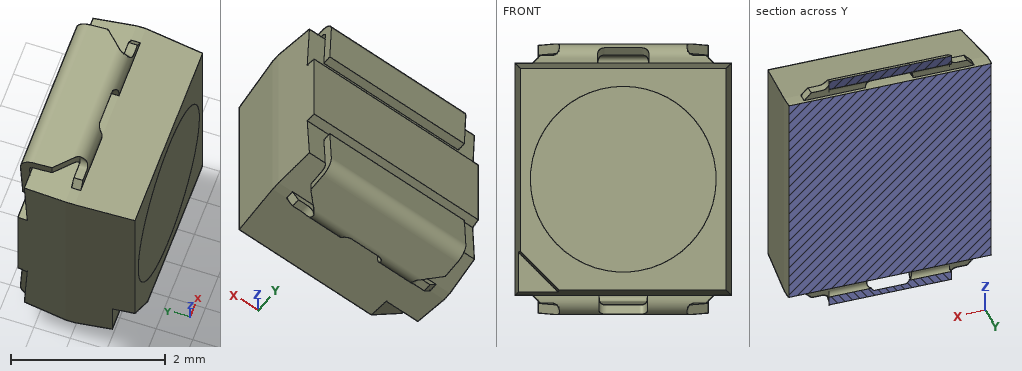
import cadquery as cq
import math


BODY_WIDTH = 2.8
BODY_HEIGHT = 3.003
FRONT_DEPTH = 0.798
DRAFT_ANGLE = 5.0
BACK_FACE_Y = 1.6
STANDOFF_HALF_HEIGHT = 0.655
SHOULDER_Y = 1.465
SHOULDER_ANGLE = 3.0

NOTCH_LEG = 0.5
NOTCH_DEPTH = 0.3
NOTCH_OVERRUN = 0.21

LENS_RADIUS = 1.2
LENS_DEPTH = FRONT_DEPTH

LEAD_THICKNESS = 0.125
BEND_RADIUS = 0.192
LEAD_TOP_Z = 1.75
LEAD_BACK_Y = 1.65
FOOT_END_Z = 0.9
FLANGE_ROOT_HALF_WIDTH = 1.172
FLANGE_LENGTH = 0.098
NECK_FILLET = 0.1
NECK_HALF_WIDTH = 0.825
LEG_HALF_WIDTH = 1.1
FLARE_ANGLE = 45.0
LEG_SHOULDER_Y = 1.215
WINDOW_CORNER_RADIUS = 0.1
UPPER_WINDOW_HALF_WIDTH = 0.332
UPPER_WINDOW_END_ANGLE = 48.0
LOWER_WINDOW_HALF_WIDTH = 0.315
LOWER_WINDOW_END_ANGLE = 74.0

QUARTER_MIDDLE = 45.0

BODY_HALF_WIDTH = BODY_WIDTH / 2
BODY_HALF_HEIGHT = BODY_HEIGHT / 2
BAND_BACK_Y = FRONT_DEPTH + LEAD_THICKNESS
FLANGE_INNER_HALF_WIDTH = NECK_HALF_WIDTH + NECK_FILLET
INNER_BEND_RADIUS = BEND_RADIUS - LEAD_THICKNESS
FRONT_BEND = (FRONT_DEPTH + BEND_RADIUS, LEAD_TOP_Z - BEND_RADIUS)
BACK_BEND_Y = LEAD_BACK_Y - BEND_RADIUS
BEND_DROP = (BACK_BEND_Y - FRONT_BEND[0]) * math.tan(math.radians(DRAFT_ANGLE))
BACK_BEND = (BACK_BEND_Y, FRONT_BEND[1] - BEND_DROP)


def polar(center, radius, angle):
    """Point on a circle; the angle runs from the first axis of the plane to the second."""
    turn = math.radians(angle)
    return (center[0] + radius * math.cos(turn), center[1] + radius * math.sin(turn))


def make_shoulder_cutter():
    """Wedge that clears the upper shoulder behind the housing for a lead foot."""
    slope = math.tan(math.radians(SHOULDER_ANGLE))
    standoff_slope = math.tan(math.radians(DRAFT_ANGLE))
    outer_z = BODY_HALF_HEIGHT
    outer_y = SHOULDER_Y + (outer_z - STANDOFF_HALF_HEIGHT) * slope
    back_z = STANDOFF_HALF_HEIGHT - (BACK_FACE_Y - SHOULDER_Y) * standoff_slope
    return (
        cq.Workplane("YZ")
        .polyline([
            (SHOULDER_Y, STANDOFF_HALF_HEIGHT),
            (outer_y, outer_z),
            (BACK_FACE_Y, outer_z),
            (BACK_FACE_Y, back_z),
        ])
        .close()
        .extrude(BODY_HALF_WIDTH, both=True)
    )


def make_polarity_notch():
    """Drafted triangular corner cutter, overrunning the two housing sides."""
    inset = FRONT_DEPTH * math.tan(math.radians(DRAFT_ANGLE))
    corner_x = -(BODY_HALF_WIDTH - inset) - NOTCH_OVERRUN
    corner_z = -(BODY_HALF_HEIGHT - inset) - NOTCH_OVERRUN
    leg = NOTCH_LEG + 2 * NOTCH_OVERRUN
    return (
        cq.Workplane("ZX")
        .polyline([(corner_z, corner_x), (corner_z + leg, corner_x), (corner_z, corner_x + leg)])
        .close()
        .extrude(NOTCH_DEPTH, taper=DRAFT_ANGLE)
    )


def make_lens():
    return cq.Workplane("ZX").circle(LENS_RADIUS).extrude(LENS_DEPTH)


def make_housing():
    front = (
        cq.Workplane("XZ", origin=(0, FRONT_DEPTH, 0))
        .rect(BODY_WIDTH, BODY_HEIGHT)
        .extrude(FRONT_DEPTH, taper=DRAFT_ANGLE)
    )
    band = (
        cq.Workplane("ZX", origin=(0, FRONT_DEPTH, 0))
        .rect(BODY_HEIGHT, BODY_WIDTH)
        .extrude(LEAD_THICKNESS)
    )
    back = (
        cq.Workplane("ZX", origin=(0, BAND_BACK_Y, 0))
        .rect(BODY_HEIGHT, BODY_WIDTH)
        .extrude(BACK_FACE_Y - BAND_BACK_Y, taper=DRAFT_ANGLE)
    )
    shoulder = make_shoulder_cutter()
    return (
        front.union(band)
        .union(back)
        .cut(shoulder)
        .cut(shoulder.mirror("XY"))
        .cut(make_polarity_notch())
        .cut(make_lens())
    )


def make_bent_strip():
    """Lead strip of full width: out of the housing, over its edge and under its back."""
    leg_normal = 90 - DRAFT_ANGLE
    foot_normal = -SHOULDER_ANGLE
    front_mid = (180 + leg_normal) / 2
    back_mid = (leg_normal + foot_normal) / 2
    foot_slope = math.tan(math.radians(SHOULDER_ANGLE))

    def foot_end(radius):
        start_y, start_z = polar(BACK_BEND, radius, foot_normal)
        return (start_y - (start_z - FOOT_END_Z) * foot_slope, FOOT_END_Z)

    return (
        cq.Workplane("YZ")
        .moveTo(FRONT_DEPTH, BODY_HALF_HEIGHT)
        .lineTo(*polar(FRONT_BEND, BEND_RADIUS, 180))
        .threePointArc(
            polar(FRONT_BEND, BEND_RADIUS, front_mid), polar(FRONT_BEND, BEND_RADIUS, leg_normal)
        )
        .lineTo(*polar(BACK_BEND, BEND_RADIUS, leg_normal))
        .threePointArc(
            polar(BACK_BEND, BEND_RADIUS, back_mid), polar(BACK_BEND, BEND_RADIUS, foot_normal)
        )
        .lineTo(*foot_end(BEND_RADIUS))
        .lineTo(*foot_end(INNER_BEND_RADIUS))
        .lineTo(*polar(BACK_BEND, INNER_BEND_RADIUS, foot_normal))
        .threePointArc(
            polar(BACK_BEND, INNER_BEND_RADIUS, back_mid),
            polar(BACK_BEND, INNER_BEND_RADIUS, leg_normal),
        )
        .lineTo(*polar(FRONT_BEND, INNER_BEND_RADIUS, leg_normal))
        .threePointArc(
            polar(FRONT_BEND, INNER_BEND_RADIUS, front_mid), polar(FRONT_BEND, INNER_BEND_RADIUS, 180)
        )
        .lineTo(BAND_BACK_Y, BODY_HALF_HEIGHT)
        .close()
        .extrude(FLANGE_ROOT_HALF_WIDTH, both=True)
    )


def make_flange_outline():
    """Prism through the band depth: chamfered flange, filleted into the narrow neck."""
    flange_top = BODY_HALF_HEIGHT + FLANGE_LENGTH
    neck_start = flange_top + NECK_FILLET
    arc_z, arc_x = polar((neck_start, FLANGE_INNER_HALF_WIDTH), NECK_FILLET, 180 + QUARTER_MIDDLE)
    return (
        cq.Workplane("ZX", origin=(0, FRONT_DEPTH, 0))
        .moveTo(BODY_HALF_HEIGHT, FLANGE_ROOT_HALF_WIDTH)
        .lineTo(flange_top, FLANGE_ROOT_HALF_WIDTH - FLANGE_LENGTH)
        .lineTo(flange_top, FLANGE_INNER_HALF_WIDTH)
        .threePointArc((arc_z, arc_x), (neck_start, NECK_HALF_WIDTH))
        .lineTo(LEAD_TOP_Z, NECK_HALF_WIDTH)
        .lineTo(LEAD_TOP_Z, -NECK_HALF_WIDTH)
        .lineTo(neck_start, -NECK_HALF_WIDTH)
        .threePointArc((arc_z, -arc_x), (flange_top, -FLANGE_INNER_HALF_WIDTH))
        .lineTo(flange_top, -FLANGE_ROOT_HALF_WIDTH + FLANGE_LENGTH)
        .lineTo(BODY_HALF_HEIGHT, -FLANGE_ROOT_HALF_WIDTH)
        .close()
        .extrude(LEAD_THICKNESS)
    )


def make_leg_outline():
    """Prism towards the back: narrow neck flaring out to the full leg width."""
    flare = math.radians(FLARE_ANGLE)
    flare_half_width = FLANGE_INNER_HALF_WIDTH - NECK_FILLET * math.cos(flare)
    flare_start_y = LEG_SHOULDER_Y - (LEG_HALF_WIDTH - flare_half_width) / math.tan(flare)
    neck_end_y = flare_start_y - NECK_FILLET * math.sin(flare)
    mid_x, mid_y = polar((FLANGE_INNER_HALF_WIDTH, neck_end_y), NECK_FILLET, 180 - FLARE_ANGLE / 2)
    return (
        cq.Workplane("XY")
        .moveTo(NECK_HALF_WIDTH, neck_end_y)
        .threePointArc((mid_x, mid_y), (flare_half_width, flare_start_y))
        .lineTo(LEG_HALF_WIDTH, LEG_SHOULDER_Y)
        .lineTo(LEG_HALF_WIDTH, LEAD_BACK_Y)
        .lineTo(-LEG_HALF_WIDTH, LEAD_BACK_Y)
        .lineTo(-LEG_HALF_WIDTH, LEG_SHOULDER_Y)
        .lineTo(-flare_half_width, flare_start_y)
        .threePointArc((-mid_x, mid_y), (-NECK_HALF_WIDTH, neck_end_y))
        .close()
        .extrude(LEAD_TOP_Z)
    )


def make_window(half_width, end_angle):
    """Cutter for the window from the housing to a radial end face in the first bend."""
    turn = math.radians(end_angle)
    center_y, center_z = FRONT_BEND
    outward = (0, -math.cos(turn), math.sin(turn))
    plane = cq.Plane(origin=(0, center_y, center_z), xDir=(1, 0, 0), normal=outward)
    reach = 2 * BEND_RADIUS
    return (
        cq.Workplane(plane)
        .center(0, -reach / 2)
        .rect(2 * half_width, reach)
        .extrude(reach, both=True)
        .edges(cq.selectors.ParallelDirSelector(cq.Vector(*outward)))
        .fillet(WINDOW_CORNER_RADIUS)
    )


def make_lead(window_half_width, window_end_angle):
    """Lead on the +Z side of the housing."""
    outline = make_flange_outline().union(make_leg_outline())
    window = make_window(window_half_width, window_end_angle)
    return make_bent_strip().intersect(outline).cut(window)


housing = make_housing()
lens = make_lens()
upper_lead = make_lead(UPPER_WINDOW_HALF_WIDTH, UPPER_WINDOW_END_ANGLE)
lower_lead = make_lead(LOWER_WINDOW_HALF_WIDTH, LOWER_WINDOW_END_ANGLE).mirror("XY")

bodies = [housing, lens, upper_lead, lower_lead]
result = cq.Compound.makeCompound([body.solids().val() for body in bodies])